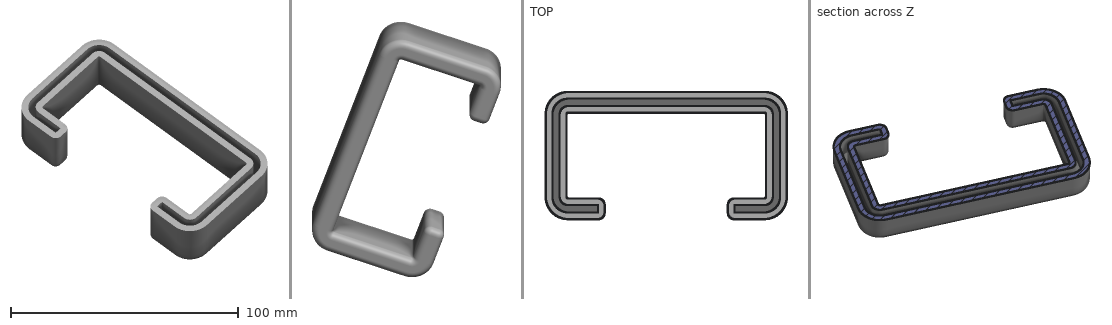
import cadquery as cq

length = 106.0
width = 56.0
height = 23.0

wall = 3.0
groove_width = 3.2
floor_thickness = 3.0
band_width = 2 * wall + groove_width

corner_radius = 10.0
lip_reach = 26.0
mouth_width = length - 2 * lip_reach

lip_tip_radius = 3.0
bottom_edge_radius = 3.0


def rounded_block(inset, block_height):
    """Upright block following the outer outline at a given inset, standing on Z = 0."""
    return (
        cq.Workplane("XY")
        .rect(length - 2 * inset, width - 2 * inset)
        .extrude(block_height)
        .edges("|Z")
        .fillet(corner_radius - inset)
    )


def rounded_ring(outer_inset, inner_inset, ring_height):
    """Closed band between two insets of the outer outline."""
    return rounded_block(outer_inset, ring_height).cut(rounded_block(inner_inset, ring_height))


def mouth_block(gap):
    """Block that clears a gap in the front (-Y) side of a ring, ending at Y = 0 inside the opening."""
    return cq.Workplane("XY").center(0, -width / 2).rect(gap, width).extrude(height)


def make_body():
    """Solid C-shaped band with rounded lip tips and a rounded bottom edge."""
    body = rounded_ring(0, band_width, height).cut(mouth_block(mouth_width))

    tip_zone_half_width = mouth_width / 2 + wall
    tip_zone = cq.selectors.BoxSelector(
        (-tip_zone_half_width, -width, 0),
        (tip_zone_half_width, 0, height),
    )
    body = body.edges("|Z").edges(tip_zone).fillet(lip_tip_radius)
    return body.faces("<Z").edges().fillet(bottom_edge_radius)


def make_groove():
    """Groove along the middle of the band, closed at the floor and at both lip tips."""
    groove_ring = rounded_ring(wall, wall + groove_width, height - floor_thickness)
    groove_mouth = mouth_block(mouth_width + 2 * wall)
    return groove_ring.cut(groove_mouth).translate((0, 0, floor_thickness))


result = make_body().cut(make_groove())